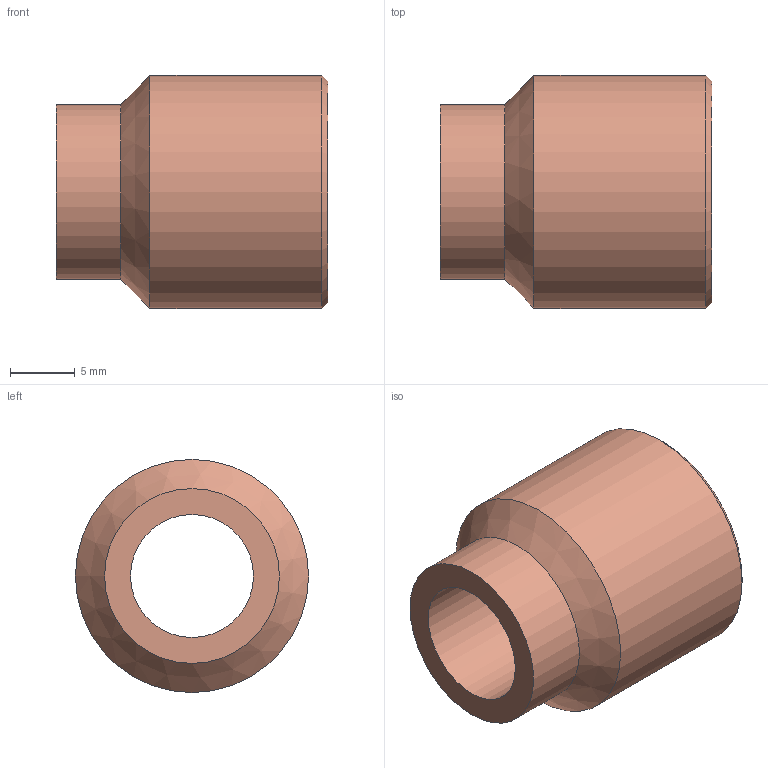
import cadquery as cq

total_length = 21.0
body_diameter = 18.0
spigot_diameter = 13.5
spigot_length = 5.0
bore_diameter = 9.5
end_chamfer = 0.5

body_radius = body_diameter / 2
spigot_radius = spigot_diameter / 2
shoulder_length = body_radius - spigot_radius
shoulder_end = spigot_length + shoulder_length


def turned_blank():
    """Spigot, conical shoulder and chamfered body as one revolved solid."""
    half_profile = (
        cq.Workplane("XY")
        .moveTo(0, 0)
        .lineTo(0, spigot_radius)
        .lineTo(spigot_length, spigot_radius)
        .lineTo(shoulder_end, body_radius)
        .lineTo(total_length - end_chamfer, body_radius)
        .lineTo(total_length, body_radius - end_chamfer)
        .lineTo(total_length, 0)
        .close()
    )
    return half_profile.revolve(360, (0, 0, 0), (1, 0, 0))


def through_bore():
    """Straight bore along the full length."""
    return cq.Workplane("YZ").circle(bore_diameter / 2).extrude(total_length)


result = turned_blank().cut(through_bore())